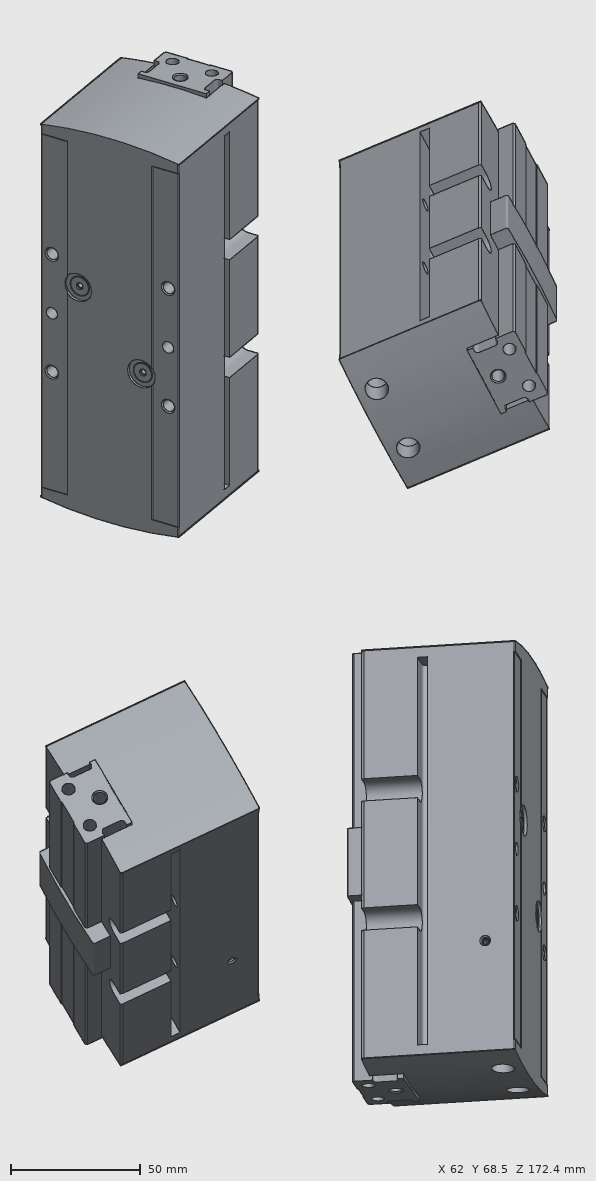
import cadquery as cq
import math

LENGTH = 172.4
WIDTH = 62.0
DEPTH = 68.5
FRONT_Y = -DEPTH / 2
COVER_TOP_Y = DEPTH / 2

THREAD_DEPTH = 10.3
DRILL_ANGLE = 118.0

HOUSING_BACK_Y = 26.2
HOUSING_HALF_LENGTH = 85.0
END_ARC_SAG = 2.5
SIDE_STEP = 0.2
SIDE_STEP_HALF_LENGTH = 82.0
FRONT_EDGE_CHAMFER = 0.5
BACK_TAPER_LENGTH = 1.0
BACK_TAPER_DEPTH = 0.3

STRIP_DEPTH = 0.3
STRIP_INNER_X = 18.8
STRIP_WALL_RUN = 0.3
STRIP_HALF_LENGTH = 78.1

MOUNT_X = 26.0
MOUNT_Z = 26.0
MOUNT_DIAMETER = 5.0
MOUNT_RIM_DIAMETER = 6.0

GROOVE_WIDTH = 9.0
SLOT_CENTER_Y = 2.2
SLOT_WIDTH = 4.0
SLOT_HALF_LENGTH = STRIP_HALF_LENGTH
SLOT_FLOOR_X = MOUNT_X - GROOVE_WIDTH / 2 - SLOT_WIDTH / 2

PLUG_X = 14.1
PLUG_Z = 15.0
PLUG_DIAMETER = 8.5
PLUG_LENGTH = 6.9
PLUG_CHAMFER = 0.25
PLUG_HOLE_DIAMETER = 3.0
PLUG_HOLE_DEPTH = 0.9
PLUG_CORE_DIAMETER = 2.0
RECESS_DIAMETER = 12.0
RECESS_DEPTH = 1.2
END_PORT_DIAMETER = 9.0
END_PORT_Y = -26.0
VENT_Y = -22.4
VENT_Z = -37.8
VENT_DIAMETER = 4.1
VENT_BORE_DIAMETER = 3.0
VENT_BORE_DEPTH = 1.7
VENT_CORE_DIAMETER = 2.0
VENT_DEPTH = 6.9

JAW_WIDTH = 30.5
JAW_FRONT_Y = 13.0
JAW_BACK_Y = 33.1
JAW_EDGE_CHAMFER = 0.7
JAW_GROOVE_WIDTH = 10.0
JAW_GROOVE_DEPTH = 0.3
NOTCH_FRONT_Y = 15.3
NOTCH_BACK_Y = 25.0
NOTCH_DEPTH = 2.8
NOTCH_FILLET = 1.4
TOOL_HOLE_X = 8.8
TOOL_HOLE_Y = 28.0
TOOL_HOLE_DIAMETER = 5.0
CENTER_HOLE_Y = 19.0
CENTER_HOLE_RIM = 6.0
CENTER_HOLE_DIAMETER = 5.0

COVER_WIDTH = 44.8
COVER_HALF_LENGTH = 13.6
COVER_ARC_SAG = 0.7
COVER_EDGE_FILLET = 0.9


def block(x_min, x_max, y_min, y_max, z_min, z_max):
    """A box given by its limits."""
    return cq.Workplane("XY").box(
        x_max - x_min, y_max - y_min, z_max - z_min, centered=False
    ).translate((x_min, y_min, z_min))


def drill(diameter, depth, start, direction, pointed=False):
    """A drill-shaped cutter whose full-diameter depth starts at a point; it may end in a cone."""
    radius = diameter / 2
    cutter = cq.Solid.makeCylinder(radius, depth, cq.Vector(*start), cq.Vector(*direction))
    if pointed:
        tip_start = cq.Vector(*start) + cq.Vector(*direction) * depth
        tip_length = radius / math.tan(math.radians(DRILL_ANGLE / 2))
        tip = cq.Solid.makeCone(radius, 0, tip_length, tip_start, cq.Vector(*direction))
        cutter = cutter.fuse(tip)
    return cutter


def countersink(rim_diameter, hole_diameter, mouth, direction):
    """A 90 degree cone-shaped cutter that opens a hole to a wider rim."""
    depth = (rim_diameter - hole_diameter) / 2
    return cq.Solid.makeCone(
        rim_diameter / 2, hole_diameter / 2, depth, cq.Vector(*mouth), cq.Vector(*direction)
    )


def housing_blank():
    """Block with bowed ends; the sides between the end rims are set in and have eased long edges."""
    half_width = WIDTH / 2
    corner_z = HOUSING_HALF_LENGTH - END_ARC_SAG
    blank = (
        cq.Workplane("XZ", origin=(0, HOUSING_BACK_Y, 0))
        .moveTo(-half_width, -corner_z)
        .threePointArc((0, -HOUSING_HALF_LENGTH), (half_width, -corner_z))
        .lineTo(half_width, corner_z)
        .threePointArc((0, HOUSING_HALF_LENGTH), (-half_width, corner_z))
        .close()
        .extrude(HOUSING_BACK_Y - FRONT_Y)
    )
    side_x = half_width - SIDE_STEP
    for side in (-1, 1):
        trim = (
            cq.Workplane("XY", origin=(0, 0, -SIDE_STEP_HALF_LENGTH))
            .polyline([
                (side * (side_x - FRONT_EDGE_CHAMFER), FRONT_Y),
                (side * side_x, FRONT_Y + FRONT_EDGE_CHAMFER),
                (side * side_x, HOUSING_BACK_Y - BACK_TAPER_LENGTH),
                (side * (side_x - BACK_TAPER_DEPTH), HOUSING_BACK_Y),
                (side * half_width, HOUSING_BACK_Y),
                (side * half_width, FRONT_Y),
            ])
            .close()
            .extrude(2 * SIDE_STEP_HALF_LENGTH)
        )
        blank = blank.cut(trim)
    return blank


def front_strip(side):
    """Shallow recess along one front edge, with a sloped inner wall."""
    floor_y = FRONT_Y + STRIP_DEPTH
    return (
        cq.Workplane("XY", origin=(0, 0, -STRIP_HALF_LENGTH))
        .polyline([
            (side * STRIP_INNER_X, FRONT_Y),
            (side * (STRIP_INNER_X + STRIP_WALL_RUN), floor_y),
            (side * (WIDTH / 2 - FRONT_EDGE_CHAMFER), floor_y),
            (side * WIDTH / 2, floor_y + FRONT_EDGE_CHAMFER),
            (side * WIDTH / 2, FRONT_Y),
        ])
        .close()
        .extrude(2 * STRIP_HALF_LENGTH)
    )


def side_slot(side):
    """Long round-bottomed slot in one side face."""
    radius = SLOT_WIDTH / 2
    return (
        cq.Workplane("XY", origin=(0, 0, -SLOT_HALF_LENGTH))
        .moveTo(side * WIDTH / 2, SLOT_CENTER_Y - radius)
        .lineTo(side * (SLOT_FLOOR_X + radius), SLOT_CENTER_Y - radius)
        .threePointArc(
            (side * SLOT_FLOOR_X, SLOT_CENTER_Y),
            (side * (SLOT_FLOOR_X + radius), SLOT_CENTER_Y + radius),
        )
        .lineTo(side * WIDTH / 2, SLOT_CENTER_Y + radius)
        .close()
        .extrude(2 * SLOT_HALF_LENGTH)
    )


def screw_groove(side, z):
    """Round-bottomed groove from the back face to the slot, in line with a mounting hole."""
    radius = GROOVE_WIDTH / 2
    return (
        cq.Workplane("XZ", origin=(0, HOUSING_BACK_Y, 0))
        .moveTo(side * WIDTH / 2, z - radius)
        .lineTo(side * MOUNT_X, z - radius)
        .threePointArc((side * (MOUNT_X - radius), z), (side * MOUNT_X, z + radius))
        .lineTo(side * WIDTH / 2, z + radius)
        .close()
        .extrude(HOUSING_BACK_Y - SLOT_CENTER_Y)
    )


def plug_places():
    """Places of the two front plugs, on a diagonal."""
    return [(-PLUG_X, PLUG_Z), (PLUG_X, -PLUG_Z)]


def make_housing():
    housing = housing_blank()
    strip_y = FRONT_Y + STRIP_DEPTH
    inward = (0, 1, 0)
    for side in (-1, 1):
        housing = housing.cut(front_strip(side))
        housing = housing.cut(side_slot(side))
        for z in (-MOUNT_Z, MOUNT_Z):
            mouth = (side * MOUNT_X, strip_y, z)
            housing = housing.cut(screw_groove(side, z))
            housing = housing.cut(drill(MOUNT_DIAMETER, SLOT_CENTER_Y - strip_y, mouth, inward))
            housing = housing.cut(countersink(MOUNT_RIM_DIAMETER, MOUNT_DIAMETER, mouth, inward))
        housing = housing.cut(
            drill(MOUNT_DIAMETER, THREAD_DEPTH, (side * MOUNT_X, strip_y, 0), inward, pointed=True)
        )
        housing = housing.cut(
            drill(
                END_PORT_DIAMETER,
                THREAD_DEPTH,
                (side * PLUG_X, END_PORT_Y, -HOUSING_HALF_LENGTH),
                (0, 0, 1),
                pointed=True,
            )
        )

    housing = housing.cut(
        block(
            -JAW_WIDTH / 2, JAW_WIDTH / 2,
            JAW_FRONT_Y, HOUSING_BACK_Y,
            -HOUSING_HALF_LENGTH, HOUSING_HALF_LENGTH,
        )
    )

    for x, z in plug_places():
        mouth = (x, FRONT_Y, z)
        housing = housing.cut(drill(RECESS_DIAMETER, RECESS_DEPTH, mouth, inward))
        housing = housing.cut(drill(PLUG_DIAMETER, RECESS_DEPTH + PLUG_LENGTH, mouth, inward))

    vent_mouth = (SIDE_STEP - WIDTH / 2, VENT_Y, VENT_Z)
    inward = (1, 0, 0)
    housing = housing.cut(countersink(VENT_DIAMETER, VENT_BORE_DIAMETER, vent_mouth, inward))
    housing = housing.cut(drill(VENT_BORE_DIAMETER, VENT_BORE_DEPTH, vent_mouth, inward))
    return housing.cut(drill(VENT_CORE_DIAMETER, VENT_DEPTH, vent_mouth, inward, pointed=True))


def make_plug(x, z):
    """Round plug with a bevelled rim and a stepped centre hole."""
    face_y = FRONT_Y + RECESS_DEPTH
    inward = (0, 1, 0)
    plug = cq.Workplane(drill(PLUG_DIAMETER, PLUG_LENGTH, (x, face_y, z), inward))
    plug = plug.faces("<Y").chamfer(PLUG_CHAMFER)
    plug = plug.cut(drill(PLUG_HOLE_DIAMETER, PLUG_HOLE_DEPTH, (x, face_y, z), inward))
    return plug.cut(drill(PLUG_CORE_DIAMETER, PLUG_LENGTH / 2, (x, face_y, z), inward))


def make_jaw(end):
    """One jaw, from the cover to the end of the travel; end is +1 for the upper jaw, -1 for the lower."""
    jaw_length = LENGTH / 2 - COVER_HALF_LENGTH
    jaw = block(-JAW_WIDTH / 2, JAW_WIDTH / 2, JAW_FRONT_Y, JAW_BACK_Y, 0, jaw_length)
    jaw = jaw.faces(">Y").edges("|Z").chamfer(JAW_EDGE_CHAMFER)
    jaw = jaw.cut(
        block(
            -JAW_GROOVE_WIDTH / 2, JAW_GROOVE_WIDTH / 2,
            JAW_BACK_Y - JAW_GROOVE_DEPTH, JAW_BACK_Y,
            0, jaw_length,
        )
    )
    for side in (-1, 1):
        notch = block(
            JAW_WIDTH / 2 - NOTCH_DEPTH, JAW_WIDTH / 2, NOTCH_FRONT_Y, NOTCH_BACK_Y, 0, jaw_length
        )
        notch = notch.faces("<X").edges("|Z").fillet(NOTCH_FILLET)
        jaw = jaw.cut(notch if side > 0 else notch.mirror("YZ"))
        jaw = jaw.cut(
            drill(
                TOOL_HOLE_DIAMETER, THREAD_DEPTH,
                (side * TOOL_HOLE_X, TOOL_HOLE_Y, jaw_length), (0, 0, -1), pointed=True,
            )
        )
    center_mouth = (0, CENTER_HOLE_Y, jaw_length)
    jaw = jaw.cut(countersink(CENTER_HOLE_RIM, CENTER_HOLE_DIAMETER, center_mouth, (0, 0, -1)))
    jaw = jaw.cut(drill(CENTER_HOLE_DIAMETER, THREAD_DEPTH, center_mouth, (0, 0, -1), pointed=True))
    jaw = jaw.translate((0, 0, COVER_HALF_LENGTH))
    return jaw if end > 0 else jaw.mirror("XY")


def make_cover():
    """Bridge between the jaws, resting on the housing, with a slightly bowed top."""
    half_width = COVER_WIDTH / 2
    shoulder_y = COVER_TOP_Y - COVER_ARC_SAG
    return (
        cq.Workplane("XY", origin=(0, 0, -COVER_HALF_LENGTH))
        .moveTo(-half_width, HOUSING_BACK_Y)
        .lineTo(half_width, HOUSING_BACK_Y)
        .lineTo(half_width, shoulder_y)
        .threePointArc((0, COVER_TOP_Y), (-half_width, shoulder_y))
        .close()
        .extrude(2 * COVER_HALF_LENGTH)
        .faces(">Y")
        .edges("|Z")
        .fillet(COVER_EDGE_FILLET)
    )


housing = make_housing()
cover = make_cover()
jaws = [make_jaw(end) for end in (-1, 1)]
plugs = [make_plug(x, z) for x, z in plug_places()]

result = cq.Compound.makeCompound(
    [housing.val(), cover.val()] + [jaw.val() for jaw in jaws] + [plug.val() for plug in plugs]
)